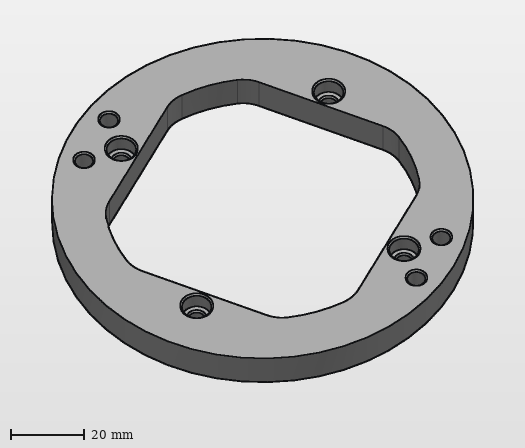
import cadquery as cq

outer_diameter = 115.0
thickness = 10.0

window_width = 75.0
window_corner_diameter = 86.5
window_blend_radius = 10.0

screw_circle_radius = 42.5
screw_hole_diameter = 4.5
counterbore_diameter = 8.0
counterbore_depth = 5.0

side_hole_diameter = 5.0
side_hole_x = 50.0
side_hole_y = 8.0

edge_break = 0.5


def chamfered_hole(diameter, mouth_z):
    """Cutter running down through the plate, flared at mouth_z."""
    radius = diameter / 2
    flare = cq.Solid.makeCone(
        radius,
        radius + edge_break,
        edge_break,
        cq.Vector(0, 0, mouth_z - edge_break),
    )
    return cq.Workplane("XY").circle(radius).extrude(mouth_z).union(cq.Workplane(flare))


def counterbored_hole():
    """Cutter for a screw hole with a chamfered counterbore."""
    floor_z = thickness - counterbore_depth
    counterbore = chamfered_hole(counterbore_diameter, thickness)
    counterbore = counterbore.cut(cq.Workplane("XY").circle(counterbore_diameter).extrude(floor_z))
    return counterbore.union(chamfered_hole(screw_hole_diameter, floor_z))


def window():
    """Cutter for the central opening, with blended corner junctions."""
    square = cq.Workplane("XY").rect(window_width, window_width).extrude(thickness)
    disc = cq.Workplane("XY").circle(window_corner_diameter / 2).extrude(thickness)
    return square.intersect(disc).edges("|Z").fillet(window_blend_radius)


result = cq.Workplane("XY").circle(outer_diameter / 2).extrude(thickness)
result = result.cut(window())

screw_cutter = counterbored_hole().translate((screw_circle_radius, 0, 0))
for angle in (0, 90, 180, 270):
    result = result.cut(screw_cutter.rotate((0, 0, 0), (0, 0, 1), angle))

side_cutter = chamfered_hole(side_hole_diameter, thickness)
for x in (-side_hole_x, side_hole_x):
    for y in (-side_hole_y, side_hole_y):
        result = result.cut(side_cutter.translate((x, y, 0)))